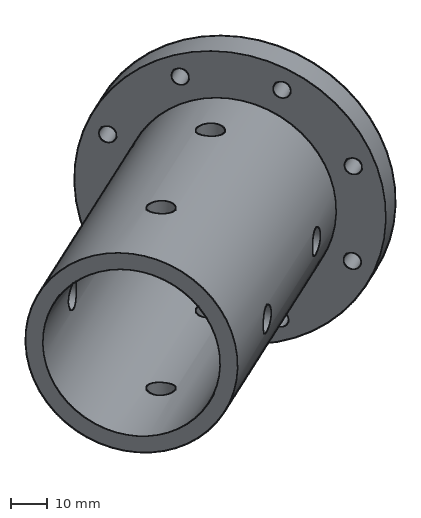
import cadquery as cq

total_length = 110.0
flange_diameter = 88.0
flange_thickness = 10.0
tube_diameter = 60.0
bore_diameter = 50.0

bolt_hole_diameter = 5.0
bolt_circle_diameter = 75.0
bolt_count = 8
first_bolt_angle = 22.0

cross_hole_diameter = 8.0
cross_hole_end_distance = 30.0

flange_face_y = total_length - flange_thickness
cross_hole_positions = (cross_hole_end_distance, total_length - cross_hole_end_distance)


def cylinder_along_y(diameter, start_y, length):
    return cq.Workplane("XY").add(
        cq.Solid.makeCylinder(diameter / 2, length, cq.Vector(0, start_y, 0), cq.Vector(0, 1, 0))
    )


def cross_hole(y, direction):
    """Hole through both walls of the tube, crossing its axis."""
    half_length = tube_diameter
    axis = cq.Vector(*direction)
    start = cq.Vector(0, y, 0) - axis * half_length
    return cq.Solid.makeCylinder(cross_hole_diameter / 2, 2 * half_length, start, axis)


def bolt_holes():
    """Ring of through holes in the flange."""
    return (
        cq.Workplane("XZ", origin=(0, total_length, 0))
        .polarArray(bolt_circle_diameter / 2, first_bolt_angle, 360, bolt_count)
        .circle(bolt_hole_diameter / 2)
        .extrude(flange_thickness)
    )


tube = cylinder_along_y(tube_diameter, 0, total_length)
flange = cylinder_along_y(flange_diameter, flange_face_y, flange_thickness)
bore = cylinder_along_y(bore_diameter, 0, total_length)
result = tube.union(flange).cut(bore).cut(bolt_holes())

for hole_y in cross_hole_positions:
    for hole_direction in ((1, 0, 0), (0, 0, 1)):
        result = result.cut(cq.Workplane("XY").add(cross_hole(hole_y, hole_direction)))